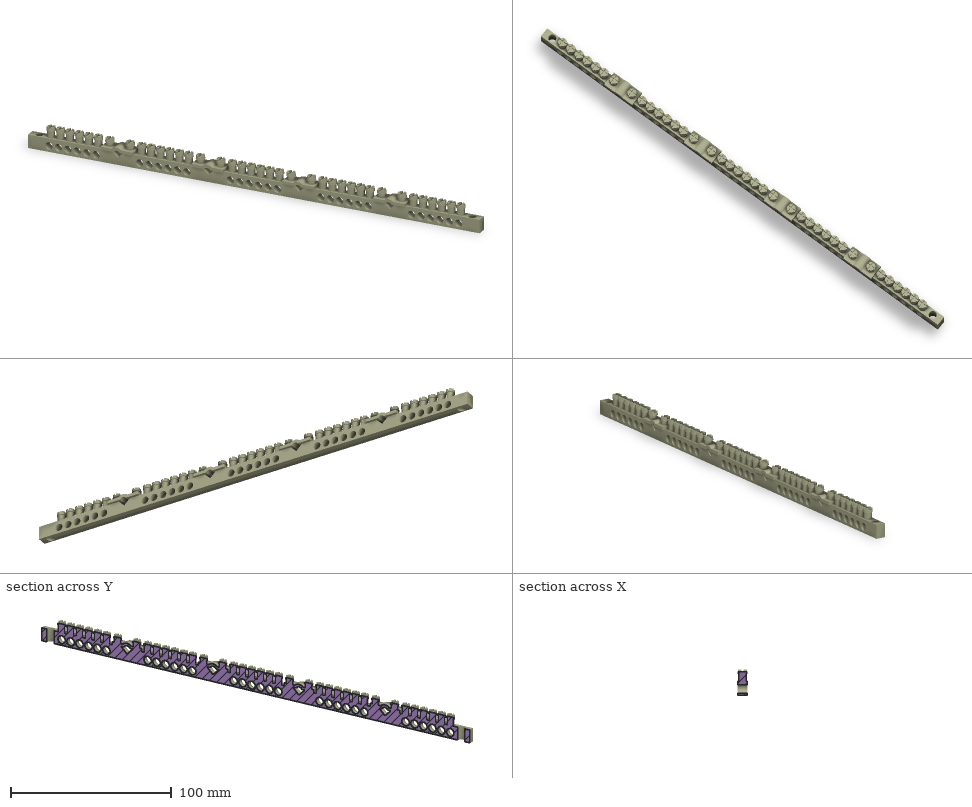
import cadquery as cq
import math

BAR_LENGTH = 311.5
BAR_WIDTH = 6.5
BAR_HEIGHT = 9.0
MOUNT_HOLE_DIAMETER = 5.0
MOUNT_HOLE_INSET = 6.5

GROUP_COUNT = 5
GROUP_PITCH = 62.5
TERMINALS_PER_GROUP = 6
TERMINAL_PITCH = 6.5
WIRE_HOLE_DIAMETER = 5.0
WIRE_HOLE_HEIGHT = 4.0

TOTAL_HEIGHT = 16.0
SHANK_DIAMETER = 5.0
HEAD_DIAMETER = 6.0
HEAD_TOP_DIAMETER = 5.5
HEAD_HEIGHT = 2.5
DRIVE_SLOT_WIDTH = 1.2
DRIVE_SLOT_DEPTH = 1.2

CLAMP_LENGTH = 22.0
CLAMP_WIDTH = 10.0
CLAMP_THICKNESS = 2.0
CLAMP_SCREW_SPACING = 14.0
ARCH_SPAN = 6.5
ARCH_SPAN_BELOW = 4.0
ARCH_RISE = 1.25
NOTCH_DEPTH = 4.0
NOTCH_ANGLE = 90.0


def centred_positions(count, pitch):
    """X positions of a row of items centred on the origin."""
    return [(index - (count - 1) / 2) * pitch for index in range(count)]


GROUP_CENTRES = centred_positions(GROUP_COUNT, GROUP_PITCH)
CLAMP_CENTRES = centred_positions(GROUP_COUNT - 1, GROUP_PITCH)
TERMINAL_OFFSETS = centred_positions(TERMINALS_PER_GROUP, TERMINAL_PITCH)
TERMINAL_POSITIONS = [centre + offset for centre in GROUP_CENTRES for offset in TERMINAL_OFFSETS]
CLAMP_SCREW_POSITIONS = [
    centre + offset for centre in CLAMP_CENTRES for offset in centred_positions(2, CLAMP_SCREW_SPACING)
]


def along_x(positions):
    """Sketch points on the X axis."""
    return [(x, 0) for x in positions]


def extrude_across(profile, width):
    """Extrude an XZ profile symmetrically about the bar's centre plane."""
    return profile.extrude(width / 2, both=True)


def make_bar():
    """Rectangular bar with end mounting holes, wire holes and V notches."""
    bar = cq.Workplane("XY").box(BAR_LENGTH, BAR_WIDTH, BAR_HEIGHT, centered=(True, True, False))

    mount_spacing = BAR_LENGTH - 2 * MOUNT_HOLE_INSET
    mount_holes = (
        cq.Workplane("XY")
        .pushPoints(along_x(centred_positions(2, mount_spacing)))
        .circle(MOUNT_HOLE_DIAMETER / 2)
        .extrude(BAR_HEIGHT)
    )
    wire_holes = extrude_across(
        cq.Workplane("XZ")
        .pushPoints([(x, WIRE_HOLE_HEIGHT) for x in TERMINAL_POSITIONS])
        .circle(WIRE_HOLE_DIAMETER / 2),
        BAR_WIDTH,
    )
    bar = bar.cut(mount_holes).cut(wire_holes)
    for centre in CLAMP_CENTRES:
        bar = bar.cut(make_notch(centre))
    return bar


def make_notch(centre):
    """V-shaped cutter that opens at the top of the bar."""
    half_opening = NOTCH_DEPTH * math.tan(math.radians(NOTCH_ANGLE / 2))
    profile = (
        cq.Workplane("XZ")
        .moveTo(centre - half_opening, BAR_HEIGHT)
        .lineTo(centre, BAR_HEIGHT - NOTCH_DEPTH)
        .lineTo(centre + half_opening, BAR_HEIGHT)
        .close()
    )
    return extrude_across(profile, BAR_WIDTH)


def make_clamp(centre):
    """Flat strip on the bar with a shallow arch over the V notch."""
    half_length = CLAMP_LENGTH / 2
    half_span_below = ARCH_SPAN_BELOW / 2
    half_span = ARCH_SPAN / 2
    bottom = BAR_HEIGHT
    top = BAR_HEIGHT + CLAMP_THICKNESS
    profile = (
        cq.Workplane("XZ")
        .moveTo(centre - half_length, bottom)
        .lineTo(centre - half_span_below, bottom)
        .threePointArc((centre, bottom + ARCH_RISE), (centre + half_span_below, bottom))
        .lineTo(centre + half_length, bottom)
        .lineTo(centre + half_length, top)
        .lineTo(centre + half_span, top)
        .threePointArc((centre, top + ARCH_RISE), (centre - half_span, top))
        .lineTo(centre - half_length, top)
        .close()
    )
    return extrude_across(profile, CLAMP_WIDTH)


def make_screw():
    """Cross-slotted screw with a tapered head, standing on the bar above the origin."""
    head_bottom = TOTAL_HEIGHT - HEAD_HEIGHT
    slot_bottom = TOTAL_HEIGHT - DRIVE_SLOT_DEPTH
    shank = (
        cq.Workplane("XY", origin=(0, 0, BAR_HEIGHT))
        .circle(SHANK_DIAMETER / 2)
        .extrude(head_bottom - BAR_HEIGHT)
    )
    head = (
        cq.Workplane("XY", origin=(0, 0, head_bottom))
        .circle(HEAD_DIAMETER / 2)
        .workplane(offset=HEAD_HEIGHT)
        .circle(HEAD_TOP_DIAMETER / 2)
        .loft()
    )
    slot_plane = cq.Workplane("XY", origin=(0, 0, slot_bottom))
    slot_along_x = slot_plane.rect(HEAD_DIAMETER, DRIVE_SLOT_WIDTH).extrude(DRIVE_SLOT_DEPTH)
    slot_along_y = slot_plane.rect(DRIVE_SLOT_WIDTH, HEAD_DIAMETER).extrude(DRIVE_SLOT_DEPTH)
    return shank.union(head).cut(slot_along_x).cut(slot_along_y)


def make_part():
    """Join the bar, clamps and screws into one solid."""
    clamps = [make_clamp(centre) for centre in CLAMP_CENTRES]
    screw = make_screw()
    screws = [screw.translate((x, 0, 0)) for x in TERMINAL_POSITIONS + CLAMP_SCREW_POSITIONS]
    solids = [shape.val() for shape in clamps + screws]
    return cq.Workplane(obj=make_bar().val().fuse(*solids))


result = make_part()